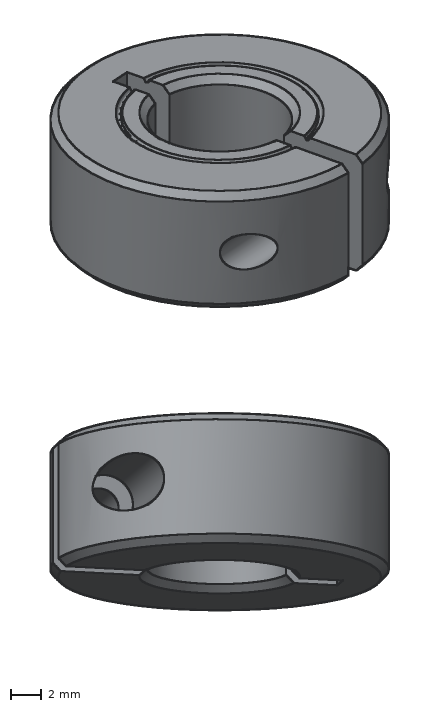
import cadquery as cq
import math

outer_diameter = 22.22
height = 8.71
bore_diameter = 9.5
edge_chamfer = 0.52

groove_outer_radius = 6.82
groove_inner_radius = 6.39
groove_bottom_radius = 0.12
groove_wall_angle = 30.0

slit_width = 1.55
slit_end_x = -8.13

screw_x = 7.95
small_hole_diameter = 2.64
large_hole_diameter = 3.8

outer_radius = outer_diameter / 2
bore_radius = bore_diameter / 2
top_z = height / 2


def make_body():
    """Ring with chamfered outer and bore edges, centred on the origin."""
    section = [
        (bore_radius + edge_chamfer, -top_z),
        (outer_radius - edge_chamfer, -top_z),
        (outer_radius, -top_z + edge_chamfer),
        (outer_radius, top_z - edge_chamfer),
        (outer_radius - edge_chamfer, top_z),
        (bore_radius + edge_chamfer, top_z),
        (bore_radius, top_z - edge_chamfer),
        (bore_radius, -top_z + edge_chamfer),
    ]
    return cq.Workplane("XZ").polyline(section).close().revolve(360, (0, 0, 0), (0, 1, 0))


def make_groove():
    """Ring groove whose walls meet the round bottom tangentially."""
    middle_radius = (groove_outer_radius + groove_inner_radius) / 2
    half_width = (groove_outer_radius - groove_inner_radius) / 2
    wall_angle = math.radians(groove_wall_angle)
    tangent_offset = groove_bottom_radius * math.cos(wall_angle)
    tangent_z = top_z - (half_width - tangent_offset) / math.tan(wall_angle)
    bottom_z = tangent_z - groove_bottom_radius * (1 - math.sin(wall_angle))
    return (
        cq.Workplane("XZ")
        .moveTo(groove_inner_radius, top_z)
        .lineTo(middle_radius - tangent_offset, tangent_z)
        .threePointArc((middle_radius, bottom_z), (middle_radius + tangent_offset, tangent_z))
        .lineTo(groove_outer_radius, top_z)
        .close()
        .revolve(360, (0, 0, 0), (0, 1, 0))
    )


def make_slit():
    """Box through the full height from the slit's closed end out past +X."""
    length = outer_radius - slit_end_x
    return (
        cq.Workplane("XY")
        .box(length, slit_width, height, centered=(False, True, True))
        .translate((slit_end_x, 0, 0))
    )


def make_screw_hole(diameter, side):
    """Hole from the middle of the slit out through one jaw; side is -1 for -Y and +1 for +Y."""
    return cq.Workplane("XZ").center(screw_x, 0).circle(diameter / 2).extrude(-side * outer_radius)


result = (
    make_body()
    .cut(make_groove())
    .cut(make_slit())
    .cut(make_screw_hole(small_hole_diameter, -1))
    .cut(make_screw_hole(large_hole_diameter, 1))
)